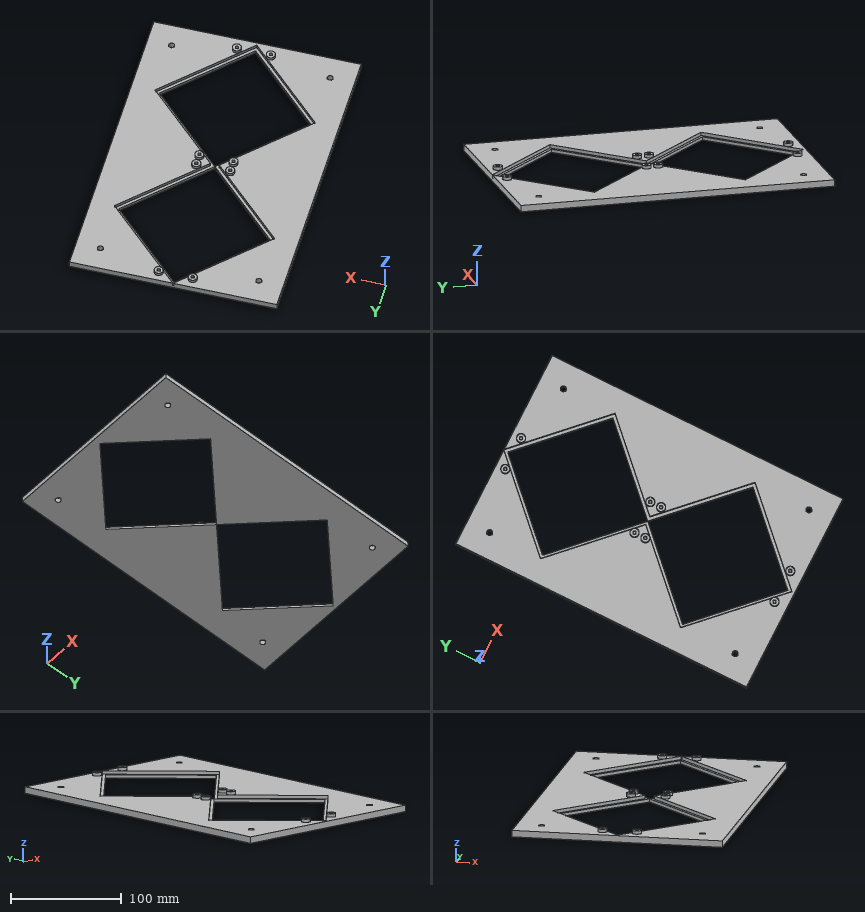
import cadquery as cq
import math

plate_width = 194.0
plate_length = 294.0
total_height = 9.0
boss_height = 3.0
plate_thickness = total_height - boss_height

window_side = 100.0
ledge_width = 3.0
ledge_depth = plate_thickness / 2
bridge = 0.15
windows_middle_y = 1.5
recess_side = window_side + 2 * ledge_width
window_offset = (window_side * math.sqrt(2) + bridge) / 2
window_centers = [(0, windows_middle_y + side * window_offset) for side in (-1, 1)]

boss_diameter = 8.2
boss_hole_diameter = 3.0
boss_x = 16.0
boss_y = 65.3

mount_diameter = 5.3
mount_spacing_x = 148.2
mount_spacing_y = 248.0


def diamond_prism(centers, side, bottom, height):
    """Square prisms with their corners pointing along X and Y."""
    prism = cq.Workplane("XY").rect(side, side).extrude(height).rotate((0, 0, 0), (0, 0, 1), 45)
    prisms = cq.Workplane("XY")
    for x, y in centers:
        prisms = prisms.add(prism.translate((x, y, bottom)))
    return prisms.combine()


def boss_centers():
    return [
        (x + side_x * boss_x, y + side_y * boss_y)
        for x, y in window_centers
        for side_x in (-1, 1)
        for side_y in (-1, 1)
    ]


plate = cq.Workplane("XY").box(plate_width, plate_length, plate_thickness, centered=(True, True, False))

plate = plate.cut(diamond_prism(window_centers, window_side, 0, plate_thickness))
plate = plate.cut(
    diamond_prism(window_centers, recess_side, plate_thickness - ledge_depth, ledge_depth)
)

mount_holes = (
    cq.Workplane("XY")
    .rect(mount_spacing_x, mount_spacing_y, forConstruction=True)
    .vertices()
    .circle(mount_diameter / 2)
    .extrude(plate_thickness)
)
plate = plate.cut(mount_holes)

bosses = (
    cq.Workplane("XY", origin=(0, 0, plate_thickness))
    .pushPoints(boss_centers())
    .circle(boss_diameter / 2)
    .circle(boss_hole_diameter / 2)
    .extrude(boss_height)
)
result = plate.union(bosses)